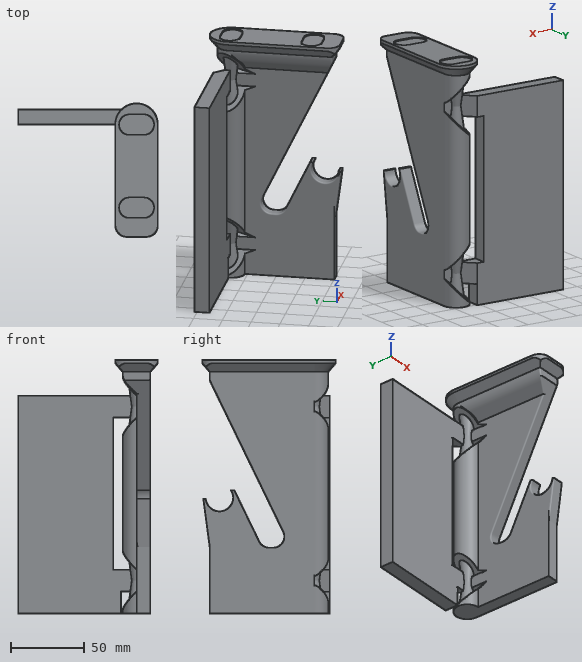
import cadquery as cq
import math


LEAF_END_X = -80.93
LEAF_THICKNESS = 10.5
LEAF_HEIGHT = 148.75
ARM_HEIGHT = 15.0
LOWER_ARM_BOTTOM = 15.0
WINDOW_X = -15.9
FOOT_NOTCH_X = -10.5

BARREL_RADIUS = 9.5
PIN_WAIST_RADIUS = 3.3
PIN_FLARE = 0.135
PIN_HALF_LENGTH = 25.0
PIN_HEIGHTS = (LOWER_ARM_BOTTOM + ARM_HEIGHT / 2, LEAF_HEIGHT - ARM_HEIGHT / 2)
GAP_HALF_HEIGHT = 11.6
GAP_ANGLE = 25.0
GAP_REACH = 14.0
GAP_HALF_LENGTH = 25.0
LIP_HALF_HEIGHT = 4.5
LIP_SLOPE = math.tan(math.radians(25.0))

PLATE_THICKNESS = BARREL_RADIUS
PLATE_FRONT_Y = -71.62
EDGE_ROUND = 1.0

TOP_Z = 173.25
RIM_HEIGHT = 2.25
FLARE_HEIGHT = 6.0
FLARE_WIDTH = 5.1
RIM_BOTTOM_Z = TOP_Z - RIM_HEIGHT
NECK_TOP_Z = RIM_BOTTOM_Z - FLARE_HEIGHT
NECK_SLOPE_Z = 150.0
NECK_ROUND_RADIUS = 10.6
HEAD_RADIUS = BARREL_RADIUS + FLARE_WIDTH
HEAD_FRONT_Y = PLATE_FRONT_Y - FLARE_WIDTH
HEAD_CORNER_RADIUS = 8.0
RECESS_DIAMETER = 14.0
RECESS_LENGTH = 24.0
RECESS_DEPTH = 0.8
RECESS_CENTERS_Y = (0.0, -56.7)

SLOT_RISE = 2.06
SLOT_BOTTOM_Z = 45.0
SLOT_CORNER_RADIUS = 7.5
SLOT_MOUTH_WIDTH = 19.5
SLOT_TOP_Z = 159.2

HOOK_START_Z = 45.5
HOOK_TIP_Y = -76.0
OUTER_TIP_Z = 78.3
INNER_TIP_Z = 84.3
CRADLE_Y = -64.9
CRADLE_Z = 79.1
CRADLE_RADIUS = 9.3

CLEAR = 20.0
BLANK_REACH = 160.0


def box(x_range, y_range, z_range):
    """Block given by its lower and upper limits along each axis."""
    size = [high - low for low, high in (x_range, y_range, z_range)]
    corner = (x_range[0], y_range[0], z_range[0])
    return cq.Workplane("XY").box(*size, centered=False).translate(corner)


def slot_edge_y(z):
    """Y of the slot's hinge-side edge at height z."""
    return PLATE_FRONT_Y + (SLOT_TOP_Z - z) / SLOT_RISE


def slot_outline(x):
    """Slanted slot with two rounded bottom corners, open at the front."""
    top_z = TOP_Z + CLEAR
    near_bottom = (slot_edge_y(SLOT_BOTTOM_Z), SLOT_BOTTOM_Z)
    far_bottom = (near_bottom[0] - SLOT_MOUTH_WIDTH, SLOT_BOTTOM_Z)
    near_top = (slot_edge_y(top_z), top_z)
    far_top = (near_top[0] - SLOT_MOUTH_WIDTH, top_z)
    edge_length = math.hypot(1, SLOT_RISE)
    along_y = -1 / edge_length
    along_z = SLOT_RISE / edge_length
    slant = math.atan(SLOT_RISE)

    radius = SLOT_CORNER_RADIUS
    sharp_tangent = radius / math.tan(slant / 2)
    blunt_tangent = radius * math.tan(slant / 2)
    near_center_y = near_bottom[0] - sharp_tangent
    far_center_y = far_bottom[0] + blunt_tangent
    center_z = SLOT_BOTTOM_Z + radius
    near_mid = (near_center_y + radius * math.cos(slant / 2), center_z - radius * math.sin(slant / 2))
    far_mid = (far_center_y - radius * math.sin(slant / 2), center_z - radius * math.cos(slant / 2))
    near_tangent = (near_bottom[0] + along_y * sharp_tangent, SLOT_BOTTOM_Z + along_z * sharp_tangent)
    far_tangent = (far_bottom[0] + along_y * blunt_tangent, SLOT_BOTTOM_Z + along_z * blunt_tangent)
    return (
        cq.Workplane("YZ", origin=(x, 0, 0))
        .moveTo(*near_top)
        .lineTo(*near_tangent)
        .threePointArc(near_mid, (near_center_y, SLOT_BOTTOM_Z))
        .lineTo(far_center_y, SLOT_BOTTOM_Z)
        .threePointArc(far_mid, far_tangent)
        .lineTo(*far_top)
        .close()
    )


def cradle_outline(x):
    """Round seat at the end of the hook."""
    return cq.Workplane("YZ", origin=(x, 0, 0)).center(CRADLE_Y, CRADLE_Z).circle(CRADLE_RADIUS)


def front_outline(x):
    """Everything in front of the plate's straight edge and the hook's leaning edge."""
    return (
        cq.Workplane("YZ", origin=(x, 0, 0))
        .moveTo(PLATE_FRONT_Y, -CLEAR)
        .lineTo(PLATE_FRONT_Y, HOOK_START_Z)
        .lineTo(HOOK_TIP_Y, OUTER_TIP_Z)
        .lineTo(HOOK_TIP_Y - CLEAR, OUTER_TIP_Z)
        .lineTo(HOOK_TIP_Y - CLEAR, -CLEAR)
        .close()
    )


def rounded_blank(outline, rounded_sides):
    """Oversize slab with the outline cut through it and its edges rounded on the given sides.

    Each side pairs a face selector with a test that picks the edges to round.
    """
    blank = box(
        (0, PLATE_THICKNESS),
        (-BLANK_REACH, BLANK_REACH),
        (-BLANK_REACH, TOP_Z + BLANK_REACH),
    ).cut(outline(0).extrude(PLATE_THICKNESS))
    for selector, is_rounded in rounded_sides:
        hole = blank.faces(selector).val().innerWires()[0]
        edges = [edge for edge in hole.Edges() if is_rounded(edge)]
        blank = blank.newObject(edges).fillet(EDGE_ROUND)
    return blank


def holder_plate():
    """Flat plate with the slanted slot and the hook that ends in a round cradle."""
    tip_y = slot_edge_y(INNER_TIP_Z) - SLOT_MOUTH_WIDTH / 2
    plate = (
        cq.Workplane("YZ")
        .moveTo(0, 0)
        .lineTo(HOOK_TIP_Y, 0)
        .lineTo(HOOK_TIP_Y, OUTER_TIP_Z)
        .lineTo(CRADLE_Y, OUTER_TIP_Z)
        .lineTo(CRADLE_Y, INNER_TIP_Z)
        .lineTo(tip_y, INNER_TIP_Z)
        .lineTo(PLATE_FRONT_Y, INNER_TIP_Z + (tip_y - PLATE_FRONT_Y) * SLOT_RISE)
        .lineTo(PLATE_FRONT_Y, NECK_TOP_Z)
        .lineTo(0, NECK_TOP_Z)
        .close()
        .extrude(PLATE_THICKNESS)
    )

    def every_edge(edge):
        return True

    def hook_edge(edge):
        center = edge.Center()
        return HOOK_TIP_Y < center.y < PLATE_FRONT_Y and HOOK_START_Z < center.z < OUTER_TIP_Z

    both_sides = (("<X", every_edge), (">X", every_edge))
    plate = plate.intersect(rounded_blank(slot_outline, both_sides))
    plate = plate.intersect(rounded_blank(cradle_outline, both_sides))
    return plate.intersect(rounded_blank(front_outline, (("<X", hook_edge), (">X", every_edge))))


def neck():
    """Widens the plate to the barrel's width under the head, with a rounded 45 degree underside."""
    side_x = -BARREL_RADIUS
    corner_z = NECK_SLOPE_Z + BARREL_RADIUS
    half_turn = math.radians(45.0) / 2
    round_start_z = corner_z + NECK_ROUND_RADIUS * math.tan(half_turn)
    round_center_x = side_x + NECK_ROUND_RADIUS

    def round_point(angle):
        x = round_center_x - NECK_ROUND_RADIUS * math.cos(angle)
        z = round_start_z - NECK_ROUND_RADIUS * math.sin(angle)
        return (x, z)

    body = (
        cq.Workplane("XZ")
        .moveTo(PLATE_THICKNESS, NECK_TOP_Z)
        .lineTo(side_x, NECK_TOP_Z)
        .lineTo(side_x, round_start_z)
        .threePointArc(round_point(half_turn), round_point(2 * half_turn))
        .lineTo(0, NECK_SLOPE_Z)
        .lineTo(PLATE_THICKNESS, NECK_SLOPE_Z)
        .close()
        .extrude(-PLATE_FRONT_Y)
        .cut(slot_outline(-CLEAR).extrude(2 * CLEAR))
    )

    return body.edges("not(|X or |Y or >Y)").edges("not(|Z and >X)").fillet(EDGE_ROUND)


def head():
    """Flared top with a rim, rounded front corners and two shallow slot-shaped recesses."""
    straight = (
        cq.Workplane("XY", origin=(0, 0, NECK_TOP_Z))
        .center(0, PLATE_FRONT_Y / 2)
        .rect(2 * BARREL_RADIUS, -PLATE_FRONT_Y)
        .workplane(offset=FLARE_HEIGHT)
        .center(0, (HEAD_FRONT_Y - PLATE_FRONT_Y) / 2)
        .rect(2 * HEAD_RADIUS, -HEAD_FRONT_Y)
        .loft(ruled=True)
    )
    cone = cq.Solid.makeCone(BARREL_RADIUS, HEAD_RADIUS, FLARE_HEIGHT)
    round_end = cq.Workplane(cone).translate((0, 0, NECK_TOP_Z))
    rim = box((-HEAD_RADIUS, HEAD_RADIUS), (HEAD_FRONT_Y, 0), (RIM_BOTTOM_Z, TOP_Z))
    rim_end = cq.Workplane("XY", origin=(0, 0, RIM_BOTTOM_Z)).circle(HEAD_RADIUS).extrude(RIM_HEIGHT)
    corner_trim = (
        box((-HEAD_RADIUS, HEAD_RADIUS), (HEAD_FRONT_Y, HEAD_RADIUS), (NECK_TOP_Z, TOP_Z))
        .edges("|Z and <Y")
        .fillet(HEAD_CORNER_RADIUS)
    )
    recesses = (
        cq.Workplane("XY", origin=(0, 0, TOP_Z - RECESS_DEPTH))
        .pushPoints([(0, y) for y in RECESS_CENTERS_Y])
        .slot2D(RECESS_LENGTH, RECESS_DIAMETER)
        .extrude(RECESS_DEPTH)
    )
    return straight.union(round_end).union(rim).union(rim_end).intersect(corner_trim).cut(recesses)


def hinge_gap(z):
    """Wedge-shaped opening around a pin, leaving a lip of the plate that reaches the pin."""
    mouth_half_height = GAP_REACH + GAP_HALF_HEIGHT
    wedge = (
        cq.Workplane("XZ", origin=(0, GAP_HALF_LENGTH, 0))
        .moveTo(GAP_HALF_HEIGHT, 0)
        .lineTo(-GAP_REACH, mouth_half_height)
        .lineTo(-GAP_REACH, -mouth_half_height)
        .close()
        .extrude(2 * GAP_HALF_LENGTH)
        .rotate((0, 0, 0), (0, 0, 1), -GAP_ANGLE)
    )
    far_half = LIP_HALF_HEIGHT + LIP_SLOPE * PLATE_THICKNESS
    lip = (
        cq.Workplane("XZ")
        .moveTo(0, LIP_HALF_HEIGHT)
        .lineTo(PLATE_THICKNESS, far_half)
        .lineTo(PLATE_THICKNESS, -far_half)
        .lineTo(0, -LIP_HALF_HEIGHT)
        .close()
        .extrude(2 * GAP_HALF_LENGTH)
    )
    return wedge.cut(lip).translate((0, 0, z))


def hinge_pin(z):
    """Hourglass pin with its waist at height z."""
    bottom = max(z - PIN_HALF_LENGTH, 0)
    bottom_radius = PIN_WAIST_RADIUS + PIN_FLARE * (z - bottom)
    top = min(z + PIN_HALF_LENGTH, NECK_TOP_Z)
    top_radius = PIN_WAIST_RADIUS + PIN_FLARE * (top - z)
    return (
        cq.Workplane("XZ")
        .moveTo(0, bottom)
        .lineTo(bottom_radius, bottom)
        .lineTo(PIN_WAIST_RADIUS, z)
        .lineTo(top_radius, top)
        .lineTo(0, top)
        .close()
        .revolve(360, (0, 0, 0), (0, 1, 0))
    )


def build_holder():
    """Swinging holder: plate, neck, barrel with two opened hinge pins, and head."""
    holder = holder_plate().union(neck())
    barrel = cq.Workplane("XY").circle(BARREL_RADIUS).extrude(NECK_TOP_Z)
    holder = holder.union(barrel)
    for z in PIN_HEIGHTS:
        holder = holder.cut(hinge_gap(z))
    for z in PIN_HEIGHTS:
        holder = holder.union(hinge_pin(z))
    return holder.union(head())


def build_leaf(holder):
    """Flat leaf whose two arms reach into the hinge gaps and cup the pins."""
    depth = (0, LEAF_THICKNESS)
    leaf = box((LEAF_END_X, WINDOW_X), depth, (0, LEAF_HEIGHT))
    for z in PIN_HEIGHTS:
        arm = box((WINDOW_X, BARREL_RADIUS), depth, (z - ARM_HEIGHT / 2, z + ARM_HEIGHT / 2))
        leaf = leaf.union(arm)
    foot = box((WINDOW_X, FOOT_NOTCH_X), depth, (0, LOWER_ARM_BOTTOM))
    end_trim = (
        cq.Workplane("XY")
        .moveTo(0, 0)
        .lineTo(-LEAF_THICKNESS, LEAF_THICKNESS)
        .lineTo(BARREL_RADIUS, LEAF_THICKNESS)
        .lineTo(BARREL_RADIUS, 0)
        .close()
        .extrude(LEAF_HEIGHT)
    )
    return leaf.union(foot).cut(end_trim).cut(holder)


holder = build_holder()
leaf = build_leaf(holder)
result = cq.Compound.makeCompound([*leaf.solids().vals(), *holder.solids().vals()])